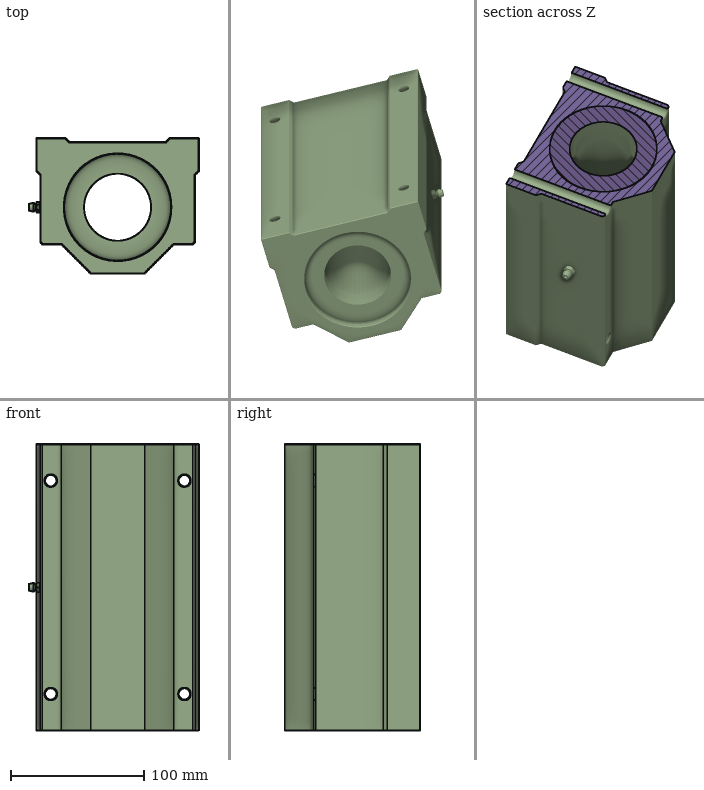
import cadquery as cq

LENGTH = 215.0
BACK_Y = 52.0
FRONT_Y = -49.9
FLANGE_HALF_WIDTH = 61.0
FLANGE_DEPTH = 25.0
STEP = 3.0
BODY_HALF_WIDTH = FLANGE_HALF_WIDTH - STEP
NOSE_DEPTH = 22.0
SHOULDER_Y = FRONT_Y + NOSE_DEPTH
SHOULDER_CHAMFER = 1.61
EDGE_BREAK = 0.5
NOSE_HALF_WIDTH = 20.2
NOSE_ROOT_HALF_WIDTH = NOSE_HALF_WIDTH + NOSE_DEPTH
RELIEF_HALF_WIDTH = 36.1

HOLE_DIAMETER = 8.4
HOLE_SPACING_X = 100.2
HOLE_SPACING_Z = 160.0
HOLE_CHAMFER = 0.6

BEARING_DIAMETER = 80.0
BEARING_BORE = 50.0
BEARING_LENGTH = 200.0

HEX_CORNERS = 8.2
HEX_LENGTH = 3.0
HEX_CHAMFER_RADIUS = 3.5
HEX_CHAMFER_LENGTH = 0.6
NECK_RADIUS = 2.4
NECK_LENGTH = 0.9
HEAD_RADIUS = 3.5
HEAD_CONE_LENGTH = 1.3
TIP_RADIUS = 2.5
NIPPLE_LENGTH = 8.4
GREASE_HOLE_RADIUS = 1.0
GREASE_HOLE_DEPTH = 1.0


def make_housing():
    """Profile block with the bearing bore, broken end edges and the mounting holes."""
    right_side = [
        (RELIEF_HALF_WIDTH, BACK_Y - STEP),
        (RELIEF_HALF_WIDTH + STEP, BACK_Y),
        (FLANGE_HALF_WIDTH - EDGE_BREAK, BACK_Y),
        (FLANGE_HALF_WIDTH, BACK_Y - EDGE_BREAK),
        (FLANGE_HALF_WIDTH, BACK_Y - FLANGE_DEPTH),
        (BODY_HALF_WIDTH, BACK_Y - FLANGE_DEPTH - STEP),
        (BODY_HALF_WIDTH, SHOULDER_Y + SHOULDER_CHAMFER),
        (BODY_HALF_WIDTH - SHOULDER_CHAMFER, SHOULDER_Y),
        (NOSE_ROOT_HALF_WIDTH, SHOULDER_Y),
        (NOSE_HALF_WIDTH, FRONT_Y),
    ]
    left_side = [(-x, y) for x, y in reversed(right_side)]
    block = (
        cq.Workplane("XY")
        .polyline(right_side + left_side)
        .close()
        .extrude(LENGTH / 2, both=True)
    )
    bore = cq.Workplane("XY").circle(BEARING_DIAMETER / 2).extrude(LENGTH / 2, both=True)
    bored_block = block.cut(bore).faces("|Z").edges().chamfer(EDGE_BREAK)
    return bored_block.cut(make_mounting_holes())


def make_mounting_holes():
    """Four through holes along Y, each chamfered at the shoulder."""
    radius = HOLE_DIAMETER / 2
    half_profile = [
        (0, SHOULDER_Y),
        (radius + HOLE_CHAMFER, SHOULDER_Y),
        (radius, SHOULDER_Y + HOLE_CHAMFER),
        (radius, BACK_Y),
        (0, BACK_Y),
    ]
    hole = cq.Workplane("XY").polyline(half_profile).close().revolve(360, (0, 0, 0), (0, 1, 0))
    holes = cq.Workplane("XY")
    for side in (-1, 1):
        for end in (-1, 1):
            holes = holes.add(hole.translate((side * HOLE_SPACING_X / 2, 0, end * HOLE_SPACING_Z / 2)))
    return holes.combine()


def make_bearing():
    """Plain sleeve centred along the bore, recessed equally at both ends."""
    return (
        cq.Workplane("XY")
        .circle(BEARING_DIAMETER / 2)
        .circle(BEARING_BORE / 2)
        .extrude(BEARING_LENGTH / 2, both=True)
    )


def turned_along_x(half_profile):
    """Revolve a profile of (x, radius) points around the X axis."""
    return cq.Workplane("XY").polyline(half_profile).close().revolve(360, (0, 0, 0), (1, 0, 0))


def make_nipple():
    """Hexagonal base with a turned neck and head, pointing towards -X."""
    base_x = -BODY_HALF_WIDTH
    neck_x = base_x - HEX_LENGTH
    head_x = neck_x - NECK_LENGTH
    rim_x = head_x - HEAD_CONE_LENGTH
    tip_x = base_x - NIPPLE_LENGTH

    hexagon = cq.Workplane("YZ", origin=(base_x, 0, 0)).polygon(6, HEX_CORNERS).extrude(-HEX_LENGTH)
    corner_envelope = turned_along_x([
        (base_x, 0),
        (base_x, HEX_CHAMFER_RADIUS),
        (base_x - HEX_CHAMFER_LENGTH, HEX_CORNERS / 2),
        (neck_x + HEX_CHAMFER_LENGTH, HEX_CORNERS / 2),
        (neck_x, HEX_CHAMFER_RADIUS),
        (neck_x, 0),
    ])
    neck_and_head = turned_along_x([
        (neck_x, 0),
        (neck_x, NECK_RADIUS),
        (head_x, NECK_RADIUS),
        (rim_x, HEAD_RADIUS),
        (tip_x, TIP_RADIUS),
        (tip_x, GREASE_HOLE_RADIUS),
        (tip_x + GREASE_HOLE_DEPTH, GREASE_HOLE_RADIUS),
        (tip_x + GREASE_HOLE_DEPTH, 0),
    ])
    return hexagon.intersect(corner_envelope).union(neck_and_head)


housing = make_housing()
bearing = make_bearing()
nipple = make_nipple()
result = cq.Compound.makeCompound([housing.val(), bearing.val(), nipple.val()])